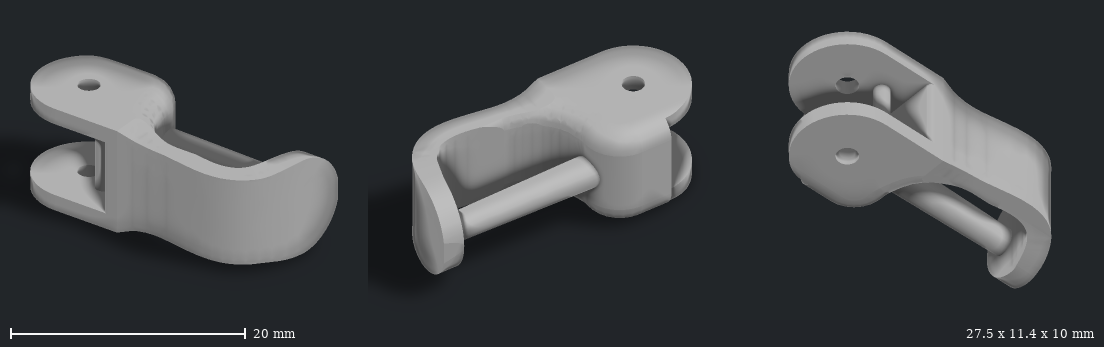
import cadquery as cq
import math

HEIGHT = 10.0
LUG_RADIUS = 5.0
LUG_THICKNESS = 1.5
WALL = 1.0
EDGE_RADIUS = 2.0
PIVOT_DIAMETER = 2.0
PIN_DIAMETER = 1.5
PIN_CENTER = (2.6, -1.48)
MOUTH_RADIUS = 0.5

BACK_Y = LUG_RADIUS + WALL
BODY_END_X = LUG_RADIUS + 1.5 * WALL
SHOULDER_RADIUS = 3.5
SHOULDER_X = BODY_END_X - SHOULDER_RADIUS
SHOULDER_Y = BACK_Y - SHOULDER_RADIUS
THROAT_Y = 2.25

TIP_INNER = (20.52, 5.15)
TIP_OUTER = (22.5, 5.0)
TIP_HALF_WIDTH = 4.6
NECK_HALF_WIDTH = 4.15
TIP_CENTER_Y = TIP_INNER[1] - TIP_HALF_WIDTH
BLEND_END = (11.35, -2.75)
FLARE_START_Y = -3.58
ROUNDING_END_X = 14.3
OVERSIZE = 33

ROD_Y = 2.65
ROD_START_X = 5.65
ROD_END_X = 20.9
ROD_START_RADIUS = 1.5
ROD_END_RADIUS = 1.26

THROAT_POINTS = [(6.7, 1.07), (7.25, -0.38), (8.25, -1.5), (9.75, -2.36), BLEND_END]
INNER_ARM_POINTS = [
    (13.45, -3.1), (15.92, -3.38), (17.8, -2.9), (18.85, -1.82), (19.7, 0.25), TIP_INNER,
]
OUTER_ARM_POINTS = [
    (21.78, 0.2), (20.9, -2.4), (19.45, -4.24), (17.65, -5.15), (15.73, -5.35),
    (13.9, -5.2), (11.58, -4.85), (9.43, -4.7), (BODY_END_X, -LUG_RADIUS),
]


def extrude_centered(profile, height):
    return profile.extrude(height).translate(profile.plane.zDir * (-height / 2))


def cylinder(diameter, center, height):
    return extrude_centered(cq.Workplane("XY").center(*center).circle(diameter / 2), height)


def box_between(x_range, y_range, height):
    (x0, x1), (y0, y1) = x_range, y_range
    profile = cq.Workplane("XY").center((x0 + x1) / 2, (y0 + y1) / 2).rect(x1 - x0, y1 - y0)
    return extrude_centered(profile, height)


def add_shoulder(profile):
    """Continue an outline from the back face round to the end wall and its throat."""
    diagonal = SHOULDER_RADIUS * math.sqrt(0.5)
    return (
        profile.lineTo(SHOULDER_X, BACK_Y)
        .threePointArc((SHOULDER_X + diagonal, SHOULDER_Y + diagonal), (BODY_END_X, SHOULDER_Y))
        .lineTo(BODY_END_X, THROAT_Y)
    )


def make_plan():
    """Full-height plan of the clevis and its curved arm."""
    outline = (
        add_shoulder(cq.Workplane("XY").moveTo(0, LUG_RADIUS).lineTo(0, BACK_Y))
        .spline(THROAT_POINTS + INNER_ARM_POINTS, tangents=[(0, -1), (0.12, 1)], includeCurrent=True)
        .lineTo(*TIP_OUTER)
        .spline(OUTER_ARM_POINTS, includeCurrent=True)
        .lineTo(0, -LUG_RADIUS)
        .threePointArc((-LUG_RADIUS, 0), (0, LUG_RADIUS))
        .close()
    )
    return extrude_centered(outline, HEIGHT)


def make_rounding_envelope():
    """Space under the rounded edges that follow the back, shoulder and throat."""
    left = -OVERSIZE
    outline = (
        add_shoulder(cq.Workplane("XY").moveTo(left, BACK_Y))
        .spline(THROAT_POINTS, tangents=[(0, -1), (1, -0.1)], includeCurrent=True)
        .lineTo(ROUNDING_END_X, BLEND_END[1])
        .lineTo(ROUNDING_END_X, -OVERSIZE)
        .lineTo(left, -OVERSIZE)
        .close()
    )
    rounded_edges = cq.selectors.BoxSelector(
        (left + 0.28, BLEND_END[1] - 0.28, -HEIGHT), (ROUNDING_END_X - 0.28, BACK_Y + 0.28, HEIGHT)
    )
    block = extrude_centered(outline, HEIGHT)
    block = block.faces("|Z").edges(rounded_edges).fillet(EDGE_RADIUS)
    return block.union(box_between((ROUNDING_END_X, OVERSIZE), (-OVERSIZE, OVERSIZE), HEIGHT))


def make_neck_trim(side):
    """Material removed on one side (+1 or -1 in Z) where the body narrows to the neck."""
    neck = [(7.3, 4.7), (8.2, 4.4), (9.08, 4.24), (BLEND_END[0], NECK_HALF_WIDTH)]
    profile = (
        cq.Workplane("XZ")
        .moveTo(BODY_END_X, side * HEIGHT / 2)
        .spline([(x, side * z) for x, z in neck], includeCurrent=True)
        .lineTo(ROUNDING_END_X, side * NECK_HALF_WIDTH)
        .lineTo(ROUNDING_END_X, side * HEIGHT)
        .lineTo(BODY_END_X, side * HEIGHT)
        .close()
    )
    return extrude_centered(profile, OVERSIZE)


def make_flare_trim(side):
    """Material removed on one side (+1 or -1 in Z) where the arm widens toward its tip."""
    flare = [(-1.82, 4.37), (TIP_CENTER_Y, TIP_HALF_WIDTH)]
    profile = (
        cq.Workplane("YZ", origin=(ROUNDING_END_X, 0, 0))
        .moveTo(-OVERSIZE, side * NECK_HALF_WIDTH)
        .lineTo(FLARE_START_Y, side * NECK_HALF_WIDTH)
        .spline([(y, side * z) for y, z in flare], tangents=[(1, 0), (1, 0)], includeCurrent=True)
        .lineTo(OVERSIZE, side * TIP_HALF_WIDTH)
        .lineTo(OVERSIZE, side * HEIGHT)
        .lineTo(-OVERSIZE, side * HEIGHT)
        .close()
    )
    return profile.extrude(OVERSIZE)


def make_tip_trim():
    """Material outside the semicircular end of the arm."""
    corner = box_between((ROUNDING_END_X, OVERSIZE), (TIP_CENTER_Y, OVERSIZE), HEIGHT)
    round_end = (
        cq.Workplane("YZ", origin=(ROUNDING_END_X, TIP_CENTER_Y, 0))
        .circle(TIP_HALF_WIDTH)
        .extrude(OVERSIZE)
    )
    return corner.cut(round_end)


def make_clevis_slot():
    """Swing clearance between the lugs, with a rounded lip at the mouth."""
    gap = HEIGHT - 2 * LUG_THICKNESS
    lip_y = MOUTH_RADIUS - LUG_RADIUS
    lip_x = LUG_RADIUS + MOUTH_RADIUS
    diagonal = MOUTH_RADIUS * math.sqrt(0.5)
    quarter = LUG_RADIUS * math.sqrt(0.5)
    outline = (
        cq.Workplane("XY")
        .moveTo(-OVERSIZE, LUG_RADIUS)
        .lineTo(0, LUG_RADIUS)
        .threePointArc((quarter, quarter), (LUG_RADIUS, 0))
        .lineTo(LUG_RADIUS, lip_y)
        .threePointArc((lip_x - diagonal, lip_y - diagonal), (lip_x, -LUG_RADIUS))
        .lineTo(-OVERSIZE, -LUG_RADIUS)
        .close()
    )
    return extrude_centered(outline, gap)


def make_rod():
    """Tapered rod from the clevis end wall to the arm tip."""
    return (
        cq.Workplane("YZ", origin=(ROD_START_X, ROD_Y, 0))
        .circle(ROD_START_RADIUS)
        .workplane(offset=ROD_END_X - ROD_START_X)
        .circle(ROD_END_RADIUS)
        .loft()
    )


result = make_plan().intersect(make_rounding_envelope())
for side in (1, -1):
    result = result.cut(make_neck_trim(side))
    result = result.cut(make_flare_trim(side))
result = result.cut(make_tip_trim())
result = result.union(make_rod())
result = result.cut(make_clevis_slot())
result = result.cut(cylinder(PIVOT_DIAMETER, (0, 0), HEIGHT))
result = result.union(cylinder(PIN_DIAMETER, PIN_CENTER, HEIGHT - LUG_THICKNESS))